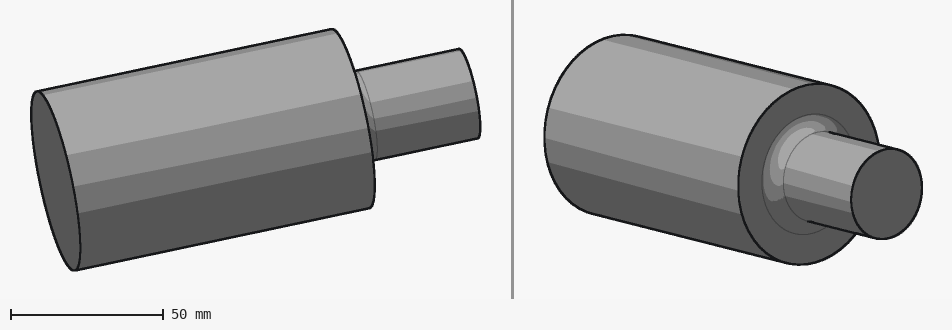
import cadquery as cq

body_diameter = 60.0
body_length = 100.0
neck_diameter = 30.0
total_length = 140.0
neck_fillet_radius = 5.0

body_radius = body_diameter / 2
neck_radius = neck_diameter / 2
fillet_end_radius = neck_radius + neck_fillet_radius
fillet_end_y = body_length + neck_fillet_radius


def half_profile():
    """Half outline in the XY plane, on the -X side of the Y axis."""
    return (
        cq.Workplane("XY")
        .lineTo(-body_radius, 0)
        .lineTo(-body_radius, body_length)
        .lineTo(-fillet_end_radius, body_length)
        .radiusArc((-neck_radius, fillet_end_y), -neck_fillet_radius)
        .lineTo(-neck_radius, total_length)
        .lineTo(0, total_length)
        .close()
    )


result = half_profile().revolve(360, (0, 0, 0), (0, 1, 0))